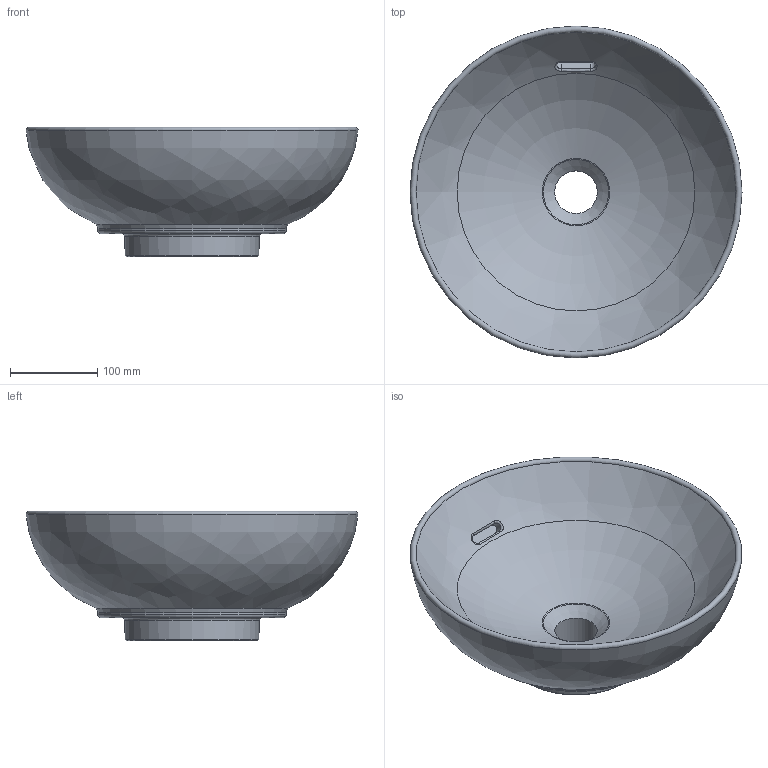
import cadquery as cq
import math

height = 148.34
rim_radius = 189.8

rim_outer_z = 144.0
rim_inner_radius = 183.0
rim_inner_z = 145.0
rim_crest_radius = (rim_radius + rim_inner_radius) / 2

bowl_mid_radius = 175.5
bowl_mid_z = 96.0
bowl_low_radius = 109.4
bowl_low_z = 37.0

foot_radius = 107.6
foot_bottom_z = 26.6
foot_edge_round = 3.2
foot_band_top_z = 32.2

neck_top_radius = 77.3
neck_bottom_radius = 76.3
neck_root_round = 3.0
neck_edge_round = 1.5

floor_radius = 136.0
floor_z = 95.5
wall_bulge = 3.0
floor_bulge = 6.0

drain_radius = 48.76 / 2
seat_radius = 37.9
seat_top_z = 48.6
seat_bottom_z = 37.5
seat_edge_round = 3.0

overflow_straight = 34.0
overflow_width = 10.2
overflow_depth = 10.5
overflow_y = 144.0
overflow_z = 102.3
overflow_tilt = math.radians(45)
overflow_edge_round = 2.3
overflow_clearance = 20.0


def bulged_middle(start, end, bulge):
    """Middle point of an arc that bows to the right of the line from start to end."""
    dx = end[0] - start[0]
    dz = end[1] - start[1]
    length = math.hypot(dx, dz)
    return (
        (start[0] + end[0]) / 2 + bulge * dz / length,
        (start[1] + end[1]) / 2 - bulge * dx / length,
    )


def make_body():
    """Revolve the half section of the basin, in the XZ plane, about Z."""
    drain_edge = (seat_radius, seat_top_z)
    floor_edge = (floor_radius, floor_z)
    rim_inner = (rim_inner_radius, rim_inner_z)
    neck_root = (neck_top_radius + neck_root_round, foot_bottom_z)
    diagonal = 1 - math.sqrt(0.5)
    root_offset = neck_root_round * diagonal
    foot_offset = foot_edge_round * diagonal
    profile = (
        cq.Workplane("XZ")
        .moveTo(drain_radius, 0)
        .lineTo(neck_bottom_radius - neck_edge_round, 0)
        .lineTo(neck_bottom_radius, neck_edge_round)
        .lineTo(neck_top_radius, foot_bottom_z - neck_root_round)
        .threePointArc((neck_top_radius + root_offset, foot_bottom_z - root_offset), neck_root)
        .lineTo(foot_radius - foot_edge_round, foot_bottom_z)
        .threePointArc(
            (foot_radius - foot_offset, foot_bottom_z + foot_offset),
            (foot_radius, foot_bottom_z + foot_edge_round),
        )
        .lineTo(foot_radius, foot_band_top_z)
        .lineTo(bowl_low_radius, bowl_low_z)
        .threePointArc((bowl_mid_radius, bowl_mid_z), (rim_radius, rim_outer_z))
        .threePointArc((rim_crest_radius, height), rim_inner)
        .threePointArc(bulged_middle(floor_edge, rim_inner, wall_bulge), floor_edge)
        .threePointArc(bulged_middle(drain_edge, floor_edge, floor_bulge), drain_edge)
        .lineTo(drain_radius, seat_bottom_z)
        .close()
    )
    return profile.revolve(360, (0, 0, 0), (0, 1, 0))


def make_overflow():
    """Obround cutter whose axis is square to the inner wall at the back of the basin."""
    mouth = cq.Plane(
        origin=(0, overflow_y, overflow_z),
        xDir=(1, 0, 0),
        normal=(0, -math.sin(overflow_tilt), math.cos(overflow_tilt)),
    )
    return (
        cq.Workplane(mouth)
        .workplane(offset=-overflow_depth)
        .slot2D(overflow_straight + overflow_width, overflow_width)
        .extrude(overflow_depth + overflow_clearance)
    )


def round_overflow_mouth(basin):
    """Round the edge where the overflow breaks through the inner wall."""
    wall = next(face for face in basin.faces().vals() if face.innerWires() and face.geomType() != "PLANE")
    mouth_edges = wall.innerWires()[0].Edges()
    return basin.newObject(mouth_edges).fillet(overflow_edge_round)


def round_seat_edge(basin):
    """Round the edge where the basin floor meets the drain seat."""
    edge_box = cq.selectors.BoxSelector(
        (-seat_radius, -seat_radius, seat_top_z - seat_edge_round),
        (seat_radius, seat_radius, seat_top_z + seat_edge_round),
    )
    return basin.edges("%CIRCLE").edges(edge_box).fillet(seat_edge_round)


body = round_seat_edge(make_body())
result = round_overflow_mouth(body.cut(make_overflow()))